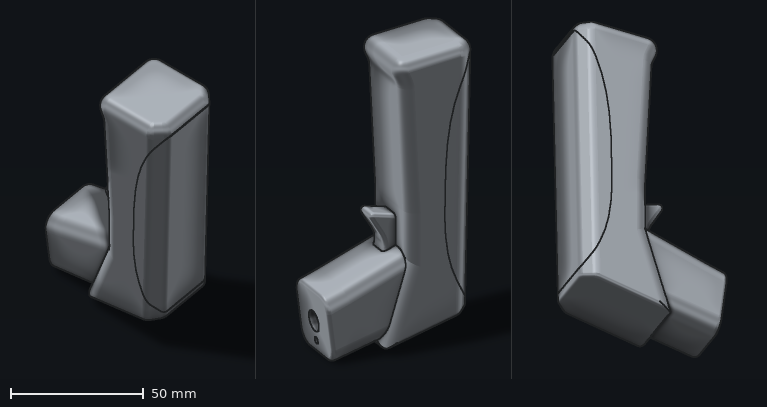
import cadquery as cq
import math



def point_on_line(start, end, x):
    """Point at `x` on the line through `start` and `end`."""
    slope = (end[1] - start[1]) / (end[0] - start[0])
    return (x, start[1] + slope * (x - start[0]))


edge_margin = 0.5

grip_width = 32.88
grip_top_front = (26.35, 119.5)
grip_top_back = (62.1, 123.65)
grip_neck = (30.75, 109.5)
grip_front_kink = (33.4, 57.1)
grip_front_bend = (grip_front_kink[0], 39.3)
foot_front = (22.2, 2.9)
foot_back = (59.7, 13.65)
grip_heel = point_on_line(foot_front, foot_back, grip_front_kink[0])
foot_inner_x = 44.0
foot_inner_top = point_on_line(foot_front, grip_front_bend, foot_inner_x)
foot_inner_bottom = point_on_line(foot_front, foot_back, foot_inner_x)

neck_fillet = 7.0
back_chamfer = 5.0
back_fillet = 4.0
grip_fillet = 5.0
foot_front_fillet = 6.0
sole_fillet = 1.6
sole_normal = cq.Vector(foot_back[1] - foot_front[1], 0, foot_front[0] - foot_back[0])
sole_selector = cq.selectors.DirectionMinMaxSelector(sole_normal, True)

nozzle_width = 28.1
nose_top = (-0.15, 27.5)
nose_bottom = (3.4, -0.42)
nozzle_top_kink = (7.9, 30.5)
nozzle_top_at_grip = (grip_front_kink[0], 40.7)
nozzle_bottom_end = (22.0, 4.83)
nozzle_root_x = 42.0
nozzle_corner_fillet = 6.5
nose_fillet = 1.6
nose_tilt = math.atan2(nose_bottom[0] - nose_top[0], nose_top[1] - nose_bottom[1])

bore_diameter = 8.5
bore_height = 13.6
bore_depth = 18.0
bore_bend = math.radians(11.0)
bent_bore_length = 22.0
bent_bore_overlap = 1.0
pinhole_diameter = 2.8
pinhole_height = 5.5
pinhole_depth = 10.0

cover_curve = [(61.7, 118.5), (53.0, 100.7), (48.5, 62.5), (50.4, 35.6), (59.75, 17.0)]
cover_overhang = 10.0

trigger_width = 10.0
trigger_tip = (22.2, 55.7)
trigger_top_at_grip = (grip_front_kink[0], 53.15)
trigger_finger_curve = [(26.1, 48.0), (28.75, 42.0), (27.0, 36.8)]
trigger_root_x = 36.0
trigger_fillet = 1.6


def profile_plane(width):
    """XZ plane at +Y from which a profile extruded by `width` is centred on Y = 0."""
    return cq.Workplane("XZ", origin=(0, width / 2, 0))


def prism(outline, width):
    return profile_plane(width).polyline(outline).close().extrude(width)


def edges_centred_in(body, low, high):
    """Edges whose centres lie between two (X, Z) corners, whatever their Y."""
    box = cq.selectors.BoxSelector((low[0], -grip_width, low[1]), (high[0], grip_width, high[1]))
    return body.edges(box)


def make_upper_grip():
    outline = [grip_top_front, grip_top_back, foot_back, grip_heel, grip_front_kink, grip_neck]
    grip = prism(outline, grip_width)
    neck = cq.selectors.NearestToPointSelector((grip_neck[0], 0, grip_neck[1]))
    grip = grip.edges("|Y").edges(neck).fillet(neck_fillet)

    grip = grip.faces(">X").edges("not |Y").chamfer(back_chamfer)
    mid_back = (grip_top_back[0] - 2 * back_chamfer, grip_front_kink[1])
    grip = edges_centred_in(grip, mid_back, (grip_top_back[0], grip_neck[1])).fillet(back_fillet)

    front_corners = edges_centred_in(grip, (0, 0), (grip_front_kink[0] + edge_margin, grip_top_back[1]))
    rounded = front_corners.edges("not |Y").vals() + grip.faces(">Z").edges().vals()
    grip = cq.Workplane(obj=grip.val().fillet(grip_fillet, rounded))
    return grip.faces(sole_selector).edges().fillet(sole_fillet)


def make_foot():
    """Foot common to two prisms: one with round front corners, one with a rounded sole."""
    outline = [foot_front, foot_inner_bottom, foot_inner_top]
    front_low = (foot_front[0], foot_inner_bottom[1] + edge_margin)
    front_high = (foot_inner_x - edge_margin, foot_inner_top[1])
    round_front = edges_centred_in(prism(outline, grip_width), front_low, front_high)
    round_front = round_front.edges("not |Y").fillet(foot_front_fillet)
    sole_edges = prism(outline, grip_width).faces(sole_selector).edges("(not |Y) or <X")
    round_sole = sole_edges.fillet(sole_fillet)
    return round_front.intersect(round_sole)


def make_grip():
    return make_upper_grip().union(make_foot())


def make_nozzle():
    root_top = point_on_line(nozzle_top_kink, nozzle_top_at_grip, nozzle_root_x)
    root_bottom = point_on_line(nose_bottom, nozzle_bottom_end, nozzle_root_x)
    nozzle = prism([nose_top, nozzle_top_kink, root_top, root_bottom, nose_bottom], nozzle_width)
    long_edges = edges_centred_in(nozzle, nose_bottom, (nozzle_root_x - edge_margin, root_top[1]))
    nozzle = long_edges.edges("not |Y").fillet(nozzle_corner_fillet)
    return nozzle.faces("<X").edges().fillet(nose_fillet)


def direction_in_xz(angle):
    return cq.Vector(math.cos(angle), 0, math.sin(angle))


def point_on_nose(height):
    return cq.Vector(nose_top[0] + (nose_top[1] - height) * math.tan(nose_tilt), 0, height)


def make_nose_holes():
    inward = direction_in_xz(nose_tilt)
    bent = direction_in_xz(nose_tilt + bore_bend)
    bore_start = point_on_nose(bore_height)
    bend_start = bore_start + inward * bore_depth - bent * bent_bore_overlap
    bore = cq.Solid.makeCylinder(bore_diameter / 2, bore_depth, bore_start, inward)
    bent_bore = cq.Solid.makeCylinder(bore_diameter / 2, bent_bore_length, bend_start, bent)
    pinhole_start = point_on_nose(pinhole_height)
    pinhole = cq.Solid.makeCylinder(pinhole_diameter / 2, pinhole_depth, pinhole_start, inward)
    return [bore, bent_bore, pinhole]


def make_cover_region():
    """Everything behind the curve that parts the cover from the housing."""
    outer_x = grip_top_back[0] + cover_overhang
    return (
        profile_plane(grip_width)
        .moveTo(*cover_curve[0])
        .spline(cover_curve[1:], includeCurrent=True)
        .lineTo(outer_x, cover_curve[-1][1])
        .lineTo(outer_x, cover_curve[0][1])
        .close()
        .extrude(grip_width)
    )


def make_untrimmed_trigger():
    """Trigger that still reaches into the grip and the nozzle."""
    root_bottom = (trigger_root_x, trigger_finger_curve[-1][1])
    trigger = (
        profile_plane(trigger_width)
        .moveTo(*trigger_tip)
        .spline(trigger_finger_curve, includeCurrent=True)
        .lineTo(*root_bottom)
        .lineTo(*point_on_line(trigger_tip, trigger_top_at_grip, trigger_root_x))
        .close()
        .extrude(trigger_width)
    )
    low = (trigger_tip[0] - edge_margin, root_bottom[1] + edge_margin)
    high = (trigger_root_x - edge_margin, trigger_tip[1] + edge_margin)
    return edges_centred_in(trigger, low, high).fillet(trigger_fillet)


shell = make_grip().union(make_nozzle())
cover_region = make_cover_region()

cover = shell.intersect(cover_region)
trigger = make_untrimmed_trigger().cut(shell)
housing = shell.cut(cover_region)
for hole in make_nose_holes():
    housing = housing.cut(cq.Workplane(obj=hole))

result = cq.Compound.makeCompound([body.solids().val() for body in (housing, cover, trigger)])